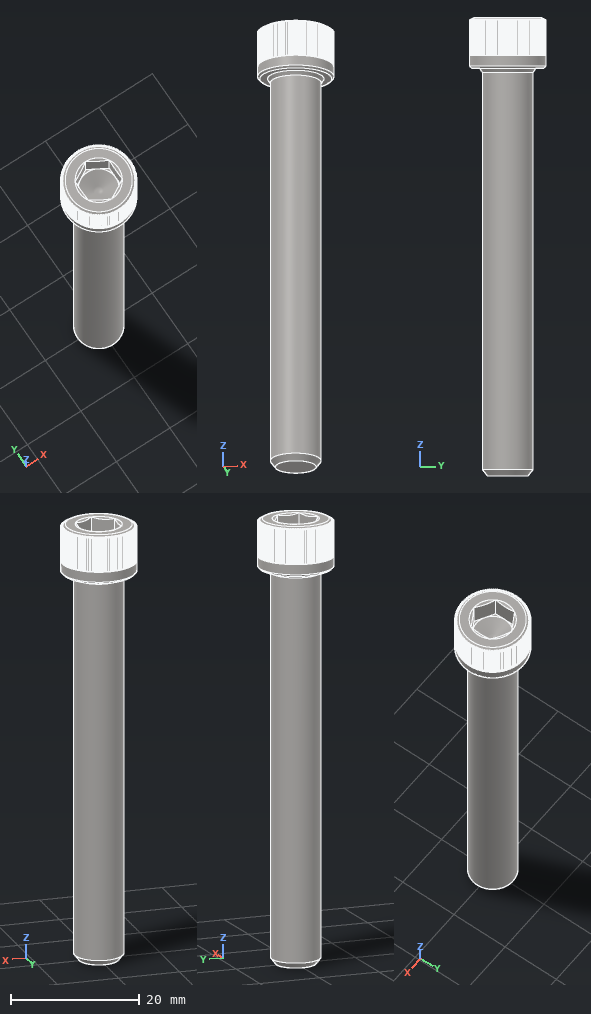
import cadquery as cq
import math

total_length = 71.45
head_diameter = 11.9
shank_diameter = 7.9
head_height = shank_diameter
head_radius = head_diameter / 2
shank_radius = shank_diameter / 2
head_underside = total_length - head_height

crown_radius = 5.2
crown_height = 0.4
rim_chamfer = 0.35

neck_flare = 0.4
neck_height = 0.65
tip_chamfer_width = 0.8
tip_chamfer_height = 1.0

socket_flats = 6.35
socket_depth = 3.9
drill_point_angle = 118.0
countersink_angle = 30.0
socket_corner_radius = socket_flats / 2 / math.cos(math.radians(30))

knurl_count = 180
knurl_depth = 0.35
knurl_length = 5.9
knurl_bottom = total_length - knurl_length


def make_blank():
    """Head, neck and shank turned as one solid around Z."""
    tip_radius = shank_radius - tip_chamfer_width
    neck_radius = shank_radius + neck_flare
    return (
        cq.Workplane("XZ")
        .lineTo(tip_radius, 0)
        .lineTo(shank_radius, tip_chamfer_height)
        .lineTo(shank_radius, head_underside - neck_height)
        .lineTo(neck_radius, head_underside)
        .lineTo(head_radius - rim_chamfer, head_underside)
        .lineTo(head_radius, head_underside + rim_chamfer)
        .lineTo(head_radius, total_length - crown_height)
        .lineTo(crown_radius, total_length)
        .lineTo(0, total_length)
        .close()
        .revolve(360, (0, 0, 0), (0, 1, 0))
    )


def make_knurl_cutter():
    """Ring whose star-shaped bore leaves the knurl teeth."""
    outline = []
    for tooth in range(knurl_count):
        crest_angle = 2 * math.pi * tooth / knurl_count
        root_angle = crest_angle + math.pi / knurl_count
        root_radius = head_radius - knurl_depth
        outline.append((head_radius * math.cos(crest_angle), head_radius * math.sin(crest_angle)))
        outline.append((root_radius * math.cos(root_angle), root_radius * math.sin(root_angle)))
    band = cq.Workplane("XY").workplane(offset=knurl_bottom)
    teeth = band.polyline(outline).close().extrude(knurl_length)
    return band.circle(head_diameter).extrude(knurl_length).cut(teeth)


def make_socket():
    """Hexagon with corners along Y, a drilled point below and a countersunk mouth."""
    floor = total_length - socket_depth
    hexagon = (
        cq.Workplane("XY")
        .workplane(offset=floor)
        .transformed(rotate=(0, 0, 90))
        .polygon(6, 2 * socket_corner_radius)
        .extrude(socket_depth)
    )
    point_radius = socket_flats / 2
    point_depth = point_radius / math.tan(math.radians(drill_point_angle / 2))
    drill_point = cq.Solid.makeCone(
        point_radius, 0, point_depth, pnt=cq.Vector(0, 0, floor), dir=cq.Vector(0, 0, -1)
    )
    countersink_depth = socket_corner_radius * math.tan(math.radians(countersink_angle))
    countersink = cq.Solid.makeCone(
        socket_corner_radius, 0, countersink_depth,
        pnt=cq.Vector(0, 0, total_length), dir=cq.Vector(0, 0, -1),
    )
    return hexagon.union(cq.Workplane(drill_point)).union(cq.Workplane(countersink))


result = make_blank().cut(make_knurl_cutter()).cut(make_socket())